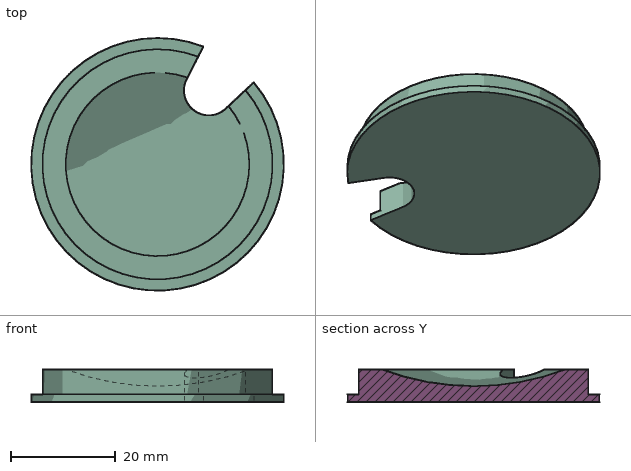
import cadquery as cq
import math

flange_radius = 24.1
body_radius = 21.95
flange_thickness = 1.5
total_height = 6.25

dish_radius = 17.5
dish_depth = 3.2

notch_x = 9.8
notch_y = 14.1
notch_radius = 4.75
left_wall_angle = 63.0
right_wall_angle = 43.2
wall_length = flange_radius


def make_disc():
    """Flange with the smaller round body standing on it."""
    flange = cq.Workplane("XY").circle(flange_radius).extrude(flange_thickness)
    body = cq.Workplane("XY").circle(body_radius).extrude(total_height)
    return flange.union(body)


def make_dish():
    """Sphere whose cap, cut by the top face, has the dish radius and depth."""
    sphere_radius = (dish_radius**2 + dish_depth**2) / (2 * dish_depth)
    sphere_height = total_height - dish_depth + sphere_radius
    return cq.Workplane("XY").sphere(sphere_radius).translate((0, 0, sphere_height))


def offset(point, angle, distance):
    """Move a plan point by a distance in the direction of an angle in degrees."""
    a = math.radians(angle)
    return (point[0] + distance * math.cos(a), point[1] + distance * math.sin(a))


def make_notch():
    """Round-bottomed notch whose straight walls run tangent to the round and flare outward."""
    centre = (notch_x, notch_y)
    middle_angle = (left_wall_angle + right_wall_angle) / 2
    left_start = offset(centre, left_wall_angle + 90, notch_radius)
    right_start = offset(centre, right_wall_angle - 90, notch_radius)
    bottom = offset(centre, middle_angle + 180, notch_radius)
    return (
        cq.Workplane("XY")
        .moveTo(*offset(left_start, left_wall_angle, wall_length))
        .lineTo(*left_start)
        .threePointArc(bottom, right_start)
        .lineTo(*offset(right_start, right_wall_angle, wall_length))
        .close()
        .extrude(total_height)
    )


result = make_disc().cut(make_dish()).cut(make_notch())